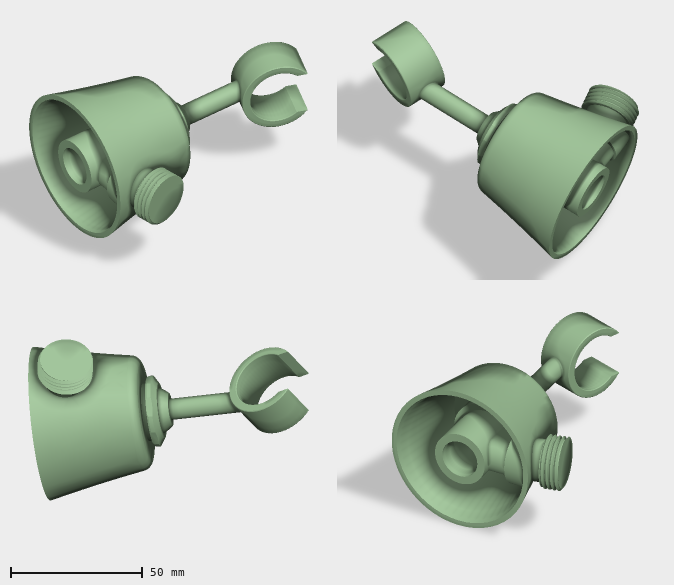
import cadquery as cq
import math


rim_radius = 29.3
rim_wall = 2.1
cup_height = 40.1
shoulder_y = 36.7
shoulder_radius = 22.0
top_flat_radius = 18.4
flare_sag = 0.3
cavity_depth = 33.5
cavity_floor_radius = 20.4
wall_slope = 12.0
shoulder_sweep = 90 - wall_slope

boss_radius = 13.4
boss_front_y = 20.1
tube_radius = 10.7
bore_radius = 7.5
bore_depth = 9.3
drill_tip_height = 4.5

channel_y = 9.5
channel_radius = 6.5
collar_y = 13.0
collar_radius = 11.0
collar_start_x = 18.0

outlet_end_x = 36.9
outlet_end_y = 15.8
outlet_length = 12.4
neck_radius = 8.2
thread_length = 7.7
thread_radius = 10.5
thread_depth = 1.0
thread_turns = 4.3
thread_pitch = thread_length / thread_turns
thread_root_gap = 0.1
thread_overlap = 0.2
last_crest_inset = 0.3

seat_radius = 11.0
seat_overlap = 1.0
nut_bottom_y = 42.0
nut_radius = 13.5
nut_across_flats = 25.9
nut_lower_chamfer_height = 0.6
nut_lower_chamfer_width = 0.3
nut_upper_edge_y = 44.2
nut_top_y = 46.0
nut_top_radius = 10.6
dome_base_radius = 8.6
dome_top_y = 49.5
dome_top_radius = 6.3
dome_sag = 0.2

rod_radius = 4.0
ring_radius = 14.4
ring_bore_radius = 11.2
ring_width = 16.0
ring_gap = 17.6
ring_tilt = 20.0
ring_x = 4.7
ring_y = 89.6
ring_edge_round = 0.3
rod_joint_round = 0.4


def bulged_middle(start, end, bulge):
    """Midpoint of a chord, moved by `bulge` to the right of the direction of travel."""
    run_x = end[0] - start[0]
    run_y = end[1] - start[1]
    length = math.hypot(run_x, run_y)
    mid_x = (start[0] + end[0]) / 2 + bulge * run_y / length
    mid_y = (start[1] + end[1]) / 2 - bulge * run_x / length
    return (mid_x, mid_y)


def turned(outline):
    """Solid of revolution about the Y axis of a (radius, Y) outline."""
    return outline.close().revolve(360, (0, 0, 0), (0, 1, 0))


def cylinder_y(radius, start_y, end_y):
    return cq.Workplane("XZ", origin=(0, start_y, 0)).circle(radius).extrude(start_y - end_y)


def cylinder_z(radius, start_z, length):
    return cq.Workplane("XY", origin=(0, 0, start_z)).circle(radius).extrude(length)


def make_cup_body():
    """Solid cup with gently flared sides and a rounded shoulder."""
    rim = (rim_radius, 0)
    shoulder = (shoulder_radius, shoulder_y)
    top_edge = (top_flat_radius, cup_height)
    shoulder_bulge = math.dist(shoulder, top_edge) / 2 * math.tan(math.radians(shoulder_sweep / 4))
    return turned(
        cq.Workplane("XY")
        .lineTo(*rim)
        .threePointArc(bulged_middle(rim, shoulder, -flare_sag), shoulder)
        .threePointArc(bulged_middle(shoulder, top_edge, shoulder_bulge), top_edge)
        .lineTo(0, cup_height)
    )


def make_cavity():
    rim = (rim_radius - rim_wall, 0)
    floor = (cavity_floor_radius, cavity_depth)
    return turned(
        cq.Workplane("XY")
        .lineTo(*rim)
        .threePointArc(bulged_middle(rim, floor, -flare_sag), floor)
        .lineTo(0, cavity_depth)
    )


def make_channel(radius, start_x, centre_y):
    """Bar along X, half-round towards the rim and straight-sided back to the cup top."""
    length = rim_radius - start_x
    depth = cup_height - centre_y
    round_side = cq.Workplane("YZ", origin=(start_x, centre_y, 0)).circle(radius).extrude(length)
    straight_side = (
        cq.Workplane("YZ", origin=(start_x, centre_y + depth / 2, 0))
        .rect(depth, 2 * radius)
        .extrude(length)
    )
    return round_side.union(straight_side)


def make_bore():
    return turned(
        cq.Workplane("XY")
        .lineTo(bore_radius, 0)
        .lineTo(bore_radius, bore_depth)
        .lineTo(0, bore_depth + drill_tip_height)
    )


def make_cup_fittings(cup_body):
    """Tube, boss and water channel, trimmed to the outside of the cup."""
    return (
        cylinder_y(tube_radius, 0, cup_height)
        .union(cylinder_y(boss_radius, boss_front_y, cup_height))
        .union(make_channel(channel_radius, 0, channel_y))
        .union(make_channel(collar_radius, collar_start_x, collar_y))
        .intersect(cup_body)
        .cut(make_bore())
    )


def make_thread():
    """Right-handed V thread along Z, wound past both ends and trimmed flat."""
    root_radius = thread_radius - thread_depth
    base_radius = root_radius - thread_overlap
    half_base = (thread_pitch - thread_root_gap) / 2
    thread_start = outlet_length - thread_length
    run_out = 2 * thread_pitch
    last_crest_z = outlet_length - last_crest_inset
    helix_start = last_crest_z - (math.ceil(thread_turns) + 0.25) * thread_pitch
    helix = cq.Wire.makeHelix(thread_pitch, thread_length + run_out, root_radius)
    ridge = (
        cq.Workplane("XZ")
        .moveTo(base_radius, -half_base)
        .lineTo(thread_radius, 0)
        .lineTo(base_radius, half_base)
        .close()
        .sweep(cq.Workplane(obj=helix), isFrenet=True)
        .translate((0, 0, helix_start))
    )
    core = cylinder_z(root_radius, thread_start - run_out, thread_length + 2 * run_out)
    return core.union(ridge).intersect(cylinder_z(2 * thread_radius, thread_start, thread_length))


def make_outlet():
    """Neck and thread, built along Z and then laid onto the tilted outlet axis."""
    return (
        cylinder_z(neck_radius, 0, outlet_length)
        .union(make_thread())
        .translate((0, 0, -outlet_length))
        .rotate((0, 0, 0), (0, 1, 0), 90)
        .rotate((0, 0, 0), (0, 0, 1), wall_slope)
        .translate((outlet_end_x, outlet_end_y, 0))
    )


def make_nut():
    """Turned blank with chamfered ends, cut to six flats, one of them facing +Z."""
    blank = turned(
        cq.Workplane("XY")
        .moveTo(0, nut_bottom_y)
        .lineTo(nut_radius - nut_lower_chamfer_width, nut_bottom_y)
        .lineTo(nut_radius, nut_bottom_y + nut_lower_chamfer_height)
        .lineTo(nut_radius, nut_upper_edge_y)
        .lineTo(nut_top_radius, nut_top_y)
        .lineTo(0, nut_top_y)
    )
    hexagon = (
        cq.Workplane("XZ", origin=(0, nut_bottom_y, 0))
        .polygon(6, nut_across_flats, circumscribed=True)
        .extrude(nut_bottom_y - nut_top_y)
        .rotate((0, 0, 0), (0, 1, 0), 30)
    )
    return blank.intersect(hexagon)


def make_dome():
    base = (dome_base_radius, nut_top_y)
    top = (dome_top_radius, dome_top_y)
    return turned(
        cq.Workplane("XY")
        .moveTo(0, nut_top_y)
        .lineTo(*base)
        .threePointArc(bulged_middle(base, top, dome_sag), top)
        .lineTo(0, dome_top_y)
    )


def cylinder_x(radius, length):
    return cq.Workplane("YZ", origin=(-length / 2, 0, 0)).circle(radius).extrude(length)


def place_at_ring(shape):
    return shape.rotate((0, 0, 0), (0, 0, 1), -ring_tilt).translate((ring_x, ring_y, 0))


def make_rod_and_ring():
    """Open clip ring on the rod; the gap faces away from the cup."""
    ring = (
        cylinder_x(ring_radius, ring_width)
        .cut(cylinder_x(ring_bore_radius, ring_width))
        .edges("%CIRCLE")
        .fillet(ring_edge_round)
    )
    gap = cq.Workplane("XY").box(2 * ring_width, ring_radius, ring_gap).translate((0, ring_radius / 2, 0))
    wall_middle = cylinder_x((ring_radius + ring_bore_radius) / 2, 2 * ring_width)
    rod = cylinder_y(rod_radius, nut_top_y, ring_y).cut(place_at_ring(wall_middle))
    joined = rod.union(place_at_ring(ring.cut(gap)))

    joint_y = ring_y - ring_radius
    joint_reach = rod_radius + 1
    joint_box = cq.selectors.BoxSelector(
        (-joint_reach, joint_y - joint_reach, -joint_reach),
        (joint_reach, joint_y + joint_reach, joint_reach),
        boundingbox=True,
    )
    return joined.edges(joint_box).fillet(rod_joint_round)


cup_body = make_cup_body()
result = (
    cup_body.cut(make_cavity())
    .union(make_cup_fittings(cup_body))
    .union(make_outlet())
    .union(cylinder_y(seat_radius, cup_height - seat_overlap, nut_bottom_y))
    .union(make_nut())
    .union(make_dome())
    .union(make_rod_and_ring())
)